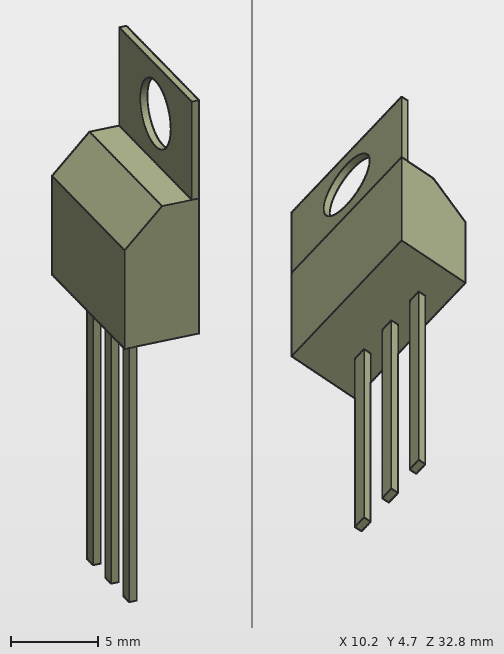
import cadquery as cq

total_height = 32.8
width = 10.17
depth = 4.7

lead_length = 17.68
housing_height = 8.75
housing_top = lead_length + housing_height
chamfer_size = 2.35

tab_thickness = 0.45
tab_height = total_height - housing_top
hole_diameter = 4.23
hole_below_top = 3.18

lead_count = 3
lead_pitch = 2.53
lead_width = 0.85
lead_thickness = 0.5
lead_back_offset = 2.95


def block(x_center, y_back, z_bottom, x_size, y_size, z_size):
    """Box centred on x_center, reaching forward (-Y) from y_back and up from z_bottom."""
    return (
        cq.Workplane("XY")
        .box(x_size, y_size, z_size, centered=(True, False, False))
        .translate((x_center, y_back - y_size, z_bottom))
    )


def make_housing():
    """Moulded block with its upper front edge chamfered."""
    body = block(0, 0, lead_length, width, depth, housing_height)
    return body.faces("<Y").edges(">Z").chamfer(chamfer_size)


def make_tab():
    """Thin plate with a round mounting hole through it."""
    plate = block(0, 0, housing_top, width, tab_thickness, tab_height)
    hole = (
        cq.Workplane("XZ")
        .center(0, total_height - hole_below_top)
        .circle(hole_diameter / 2)
        .extrude(tab_thickness)
    )
    return plate.cut(hole)


def make_lead(x_center):
    """Straight rectangular lead ending at the underside of the housing."""
    return block(x_center, -lead_back_offset, 0, lead_width, lead_thickness, lead_length)


housing = make_housing()
tab = make_tab()

leads = []
for index in range(lead_count):
    x_center = (index - (lead_count - 1) / 2) * lead_pitch
    leads.append(make_lead(x_center).val())

result = cq.Compound.makeCompound([housing.val(), tab.val(), *leads])